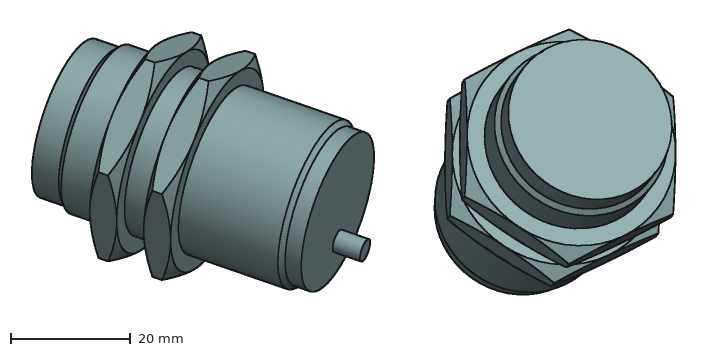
import cadquery as cq
import math

front_cap_length = 5.0
cap_radius = 14.1
sleeve_radius = 15.0
sleeve_chamfer = sleeve_radius - cap_radius
rear_cap_start = 47.0
barrel_length = 50.0

cable_diameter = 4.0
cable_length = 5.08
cable_offset = 7.0

nut_across_flats = 36.0
nut_thickness = 5.0
nut_pitch = 10.0
first_nut_start = 12.65
nut_count = 2
nut_sides = 6
nut_chamfer_angle = 30.0


def make_cylinder(start, length, radius):
    return cq.Workplane("YZ").workplane(offset=start).circle(radius).extrude(length)


def make_barrel():
    caps = make_cylinder(0, barrel_length, cap_radius)
    sleeve = make_cylinder(front_cap_length, rear_cap_start - front_cap_length, sleeve_radius)
    return caps.union(sleeve.faces("<X or >X").chamfer(sleeve_chamfer))


def make_cable():
    overlap = barrel_length - rear_cap_start
    cable = make_cylinder(rear_cap_start, overlap + cable_length, cable_diameter / 2)
    return cable.translate((0, 0, -cable_offset))


def make_nut(start):
    flat_radius = nut_across_flats / 2
    corner_radius = flat_radius / math.cos(math.pi / nut_sides)
    chamfer_depth = (corner_radius - flat_radius) * math.tan(math.radians(nut_chamfer_angle))
    hexagon = (
        cq.Workplane("YZ")
        .polygon(nut_sides, 2 * corner_radius)
        .extrude(nut_thickness)
        .rotate((0, 0, 0), (1, 0, 0), 90)
    )
    blank = (
        cq.Workplane("XY")
        .polyline([
            (0, 0),
            (0, flat_radius),
            (chamfer_depth, corner_radius),
            (nut_thickness - chamfer_depth, corner_radius),
            (nut_thickness, flat_radius),
            (nut_thickness, 0),
        ])
        .close()
        .revolve(360, (0, 0, 0), (1, 0, 0))
    )
    return hexagon.intersect(blank).translate((start, 0, 0))


result = make_barrel().union(make_cable())
for nut_index in range(nut_count):
    result = result.union(make_nut(first_nut_start + nut_index * nut_pitch))